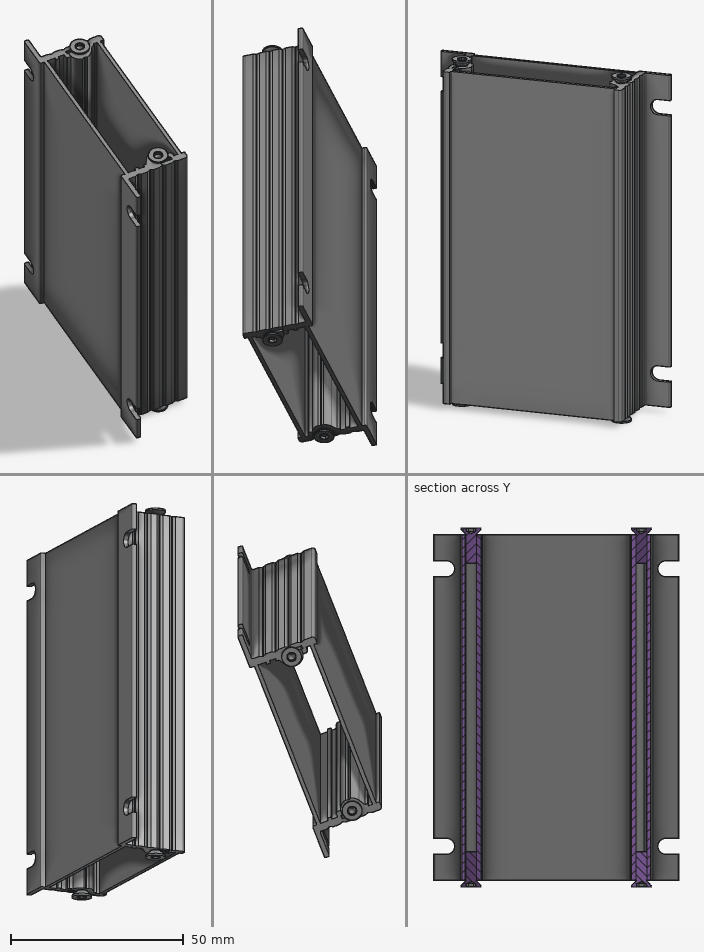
import cadquery as cq
import math

LENGTH = 100.0
SCREW_SPAN = 104
WIDTH = 71.0
HEIGHT = 20.8

WALL_OUT = 27.7
WALL_IN = 25.4
WALL_TOP_R = 0.8
INNER_EDGE_R = 0.5
GROOVE_W = 2.0
GROOVE_FLOOR_W = 0.3
GROOVE_D = 0.36
GROOVE_PITCH = 4.0

FLANGE_T = 1.5
FLANGE_EDGE_R = 0.4
FLANGE_ROOT_R = 0.4
SLOT_W = 4.6
SLOT_END = 29.4
SLOT_Z = 40.1

UPPER_PLATE = (18.6, 19.8)
LOWER_PLATE = (1.4, 2.5)

SCREW_X = 24.6
SCREW_Y = 12.6
SHANK_D = 3.0
ARM_R = 3.3
FLANK_SLOPE = 33
BLOCK_H = 4.8
ROOT_X = 24.6
HOOK_X = 23.8
HOOK_CHAMFER = 0.4
CLEARANCE_OUT = 26.3
CLEARANCE_H = 3.7
RIB = (4.9, 6.0)

HEAD_D = 5.7
RIM_T = 0.5
SHANK_LENGTH = 8.3
SOCKET_D = 2.7
SOCKET_DEPTH = 1
SOCKET_MOUTH = 0.16
SOCKET_TIP = 0.6


def bar(x0, x1, y0, y1):
    """Full-length bar with a rectangular section."""
    block = cq.Workplane("XY").box(x1 - x0, y1 - y0, LENGTH, centered=(False, False, True))
    return block.translate((x0, y0, 0))


def rod(radius):
    """Full-length cylinder on the axis of the +X screw channel."""
    return cq.Workplane("XY", origin=(SCREW_X, SCREW_Y, -LENGTH / 2)).circle(radius).extrude(LENGTH)


def flip(body):
    """Turn a +X channel part over, about the joint plane."""
    return body.mirror("XZ").translate((0, 2 * SCREW_Y, 0))


def prism(points):
    """Full-length bar with a polygonal section."""
    return cq.Workplane("XY", origin=(0, 0, -LENGTH / 2)).polyline(points).close().extrude(LENGTH)


def groove(x, inward):
    """Cutter for a tapered groove at joint height; its mouth is at x and it cuts towards +X or -X."""
    mouth = GROOVE_W / 2
    floor = GROOVE_FLOOR_W / 2
    floor_x = x + inward * GROOVE_D
    section = [
        (x, SCREW_Y - mouth),
        (x, SCREW_Y + mouth),
        (floor_x, SCREW_Y + floor),
        (floor_x, SCREW_Y - floor),
    ]
    return prism(section)


def arm():
    """Arm below the joint of the +X channel; it reaches around the screw and above the joint."""
    below = rod(ARM_R).intersect(bar(0, WALL_OUT, 0, SCREW_Y))
    above = rod(ARM_R).intersect(bar(0, WALL_IN, SCREW_Y, HEIGHT))
    slope = math.radians(FLANK_SLOPE)
    tangent_x = SCREW_X - ARM_R * math.sin(slope)
    tangent_y = SCREW_Y - ARM_R * math.cos(slope)
    root = prism([
        (SCREW_X, SCREW_Y),
        (tangent_x, tangent_y),
        (ROOT_X, tangent_y - (ROOT_X - tangent_x) * math.tan(slope)),
        (ROOT_X, SCREW_Y - BLOCK_H),
        (WALL_IN, SCREW_Y - BLOCK_H),
        (WALL_IN, SCREW_Y),
    ])
    notch = groove(SCREW_X - ARM_R, 1)
    return below.union(above).union(root).cut(notch)


def hook():
    """Hook above the joint of the +X channel, on which the arm's free end rests."""
    block = bar(HOOK_X, WALL_IN, SCREW_Y, SCREW_Y + BLOCK_H)
    return block.edges("|Z and >Y and <X").chamfer(HOOK_CHAMFER).cut(rod(ARM_R))


def clearance():
    """Gap in the wall behind the arm's free end, above the joint of the +X channel."""
    return bar(WALL_IN, CLEARANCE_OUT, SCREW_Y, SCREW_Y + CLEARANCE_H)


def grooved(wall):
    """Cut the screw hole and the outer grooves into the +X wall."""
    wall = wall.cut(rod(SHANK_D / 2))
    for step in (-2, -1, 0, 1):
        wall = wall.cut(groove(WALL_OUT, -1).translate((0, step * GROOVE_PITCH, 0)))
    return wall


def upper_wall():
    """Part of the +X wall above the joint."""
    wall = bar(WALL_IN, WALL_OUT, SCREW_Y, HEIGHT)
    return wall.edges("|Z and >X and >Y").fillet(WALL_TOP_R)


def lower_wall():
    """Part of the +X wall below the joint, with its slotted flange and guide rib."""
    wall = bar(WALL_IN, WALL_OUT, 0, SCREW_Y)
    wall = wall.union(bar(WALL_IN, WIDTH / 2, 0, FLANGE_T))
    wall = wall.edges("|Z and <X and <Y").fillet(INNER_EDGE_R)
    wall = wall.edges("|Z and >X").fillet(FLANGE_EDGE_R)
    root = cq.selectors.NearestToPointSelector((WALL_OUT, FLANGE_T, 0))
    wall = wall.edges(root).fillet(FLANGE_ROOT_R)
    slot_length = WIDTH - 2 * SLOT_END
    slots = (
        cq.Workplane("XZ")
        .pushPoints([(WIDTH / 2, SLOT_Z), (WIDTH / 2, -SLOT_Z)])
        .slot2D(slot_length, SLOT_W)
        .extrude(-FLANGE_T)
    )
    return wall.cut(slots).union(bar(ROOT_X, WALL_IN, *RIB))


def shell(plate, hook_side, arm_side):
    """One shell: two opposite wall parts joined by a cover plate."""
    cover = bar(-WALL_IN, WALL_IN, *plate)
    return cover.union(hook_side).union(arm_side)


def make_upper_shell():
    """Cover plate with the wall parts above the joint; hook at +X, arm at -X."""
    hook_side = grooved(upper_wall().union(hook()).cut(clearance()))
    arm_side = grooved(upper_wall().union(flip(arm()))).mirror("YZ")
    return shell(UPPER_PLATE, hook_side, arm_side)


def make_lower_shell():
    """Cover plate with the flanged wall parts below the joint; arm at +X, hook at -X."""
    arm_side = grooved(lower_wall().union(arm()))
    hook_side = grooved(lower_wall().union(flip(hook())).cut(flip(clearance()))).mirror("YZ")
    return shell(LOWER_PLATE, hook_side, arm_side)


def make_screw():
    """Countersunk socket screw on the Z axis, with its head at the +Z end."""
    top = SCREW_SPAN / 2
    head_r = HEAD_D / 2
    shank_r = SHANK_D / 2
    rim = top - RIM_T
    neck = rim - (head_r - shank_r)
    tip = LENGTH / 2 - SHANK_LENGTH
    profile = [(0, tip), (shank_r, tip), (shank_r, neck), (head_r, rim), (head_r, top), (0, top)]
    screw = cq.Workplane("XZ").polyline(profile).close().revolve(360, (0, 0), (0, 1))
    mouth = cq.Workplane("XY", origin=(0, 0, top)).circle(SOCKET_D / 2).extrude(-SOCKET_MOUTH)
    hexagon = cq.Workplane("XY", origin=(0, 0, top)).polygon(6, SOCKET_D).extrude(-SOCKET_DEPTH)
    flats_r = SOCKET_D / 2 * math.cos(math.pi / 6)
    floor = top - SOCKET_DEPTH
    point = (
        cq.Workplane("XZ")
        .polyline([(0, floor), (flats_r, floor), (0, floor - SOCKET_TIP)])
        .close()
        .revolve(360, (0, 0), (0, 1))
    )
    return screw.cut(mouth).cut(hexagon).cut(point)


upper_shell = make_upper_shell()
lower_shell = make_lower_shell()

screws = []
for x in (-SCREW_X, SCREW_X):
    top_screw = make_screw().translate((x, SCREW_Y, 0))
    screws += [top_screw.val(), top_screw.mirror("XY").val()]

result = cq.Compound.makeCompound([upper_shell.val(), lower_shell.val(), *screws])